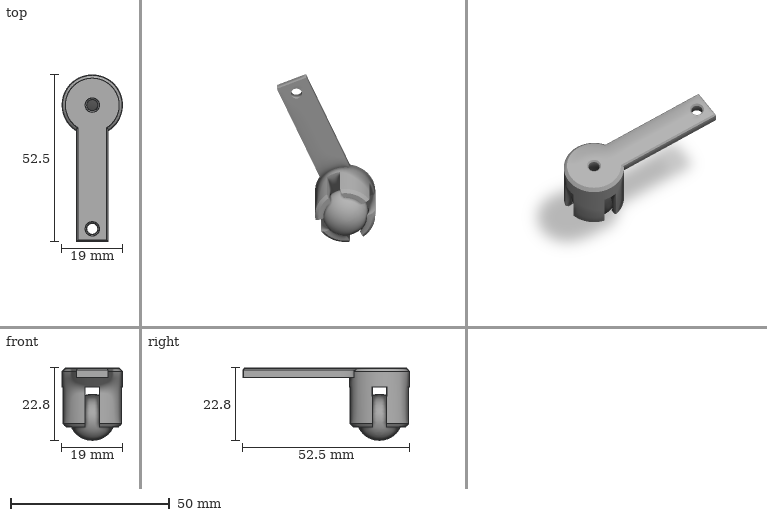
import cadquery as cq

total_height = 22.75
housing_height = 18.5
roof_thickness = 6.0

housing_diameter = 19.0
top_chamfer = 1.0
bottom_chamfer = 1.0
slot_width = 4.5

arm_width = 10.0
arm_thickness = 3.0
arm_reach = 43.0
arm_chamfer = 0.5

hole_diameter = 3.5
countersink_depth = 0.5
arm_hole_y = -39.0

ball_diameter = 14.5
socket_clearance = 0.25
socket_diameter = ball_diameter + 2 * socket_clearance
ball_center_z = ball_diameter / 2 - total_height


def make_sphere(diameter):
    """Sphere on the center of the ball, for the ball and for its socket."""
    return cq.Workplane("XY").sphere(diameter / 2).translate((0, 0, ball_center_z))


def make_housing_blank():
    """Solid cylinder, chamfered at both ends."""
    return (
        cq.Workplane("XY")
        .circle(housing_diameter / 2)
        .extrude(-housing_height)
        .faces(">Z")
        .chamfer(top_chamfer)
        .faces("<Z")
        .chamfer(bottom_chamfer)
    )


def make_arm():
    """Flat arm from the housing axis toward -Y, with its upper edges chamfered."""
    return (
        cq.Workplane("XY")
        .box(arm_width, arm_reach, arm_thickness, centered=(True, False, False))
        .translate((0, -arm_reach, -arm_thickness))
        .faces(">Z")
        .edges("<X or >X or <Y")
        .chamfer(arm_chamfer)
    )


def make_slots():
    """Two crossing slots that split the housing below its roof into four fingers."""
    slot = (
        cq.Workplane("XY")
        .workplane(offset=-roof_thickness)
        .rect(housing_diameter, slot_width)
        .extrude(roof_thickness - housing_height)
    )
    return slot.union(slot.rotate((0, 0, 0), (0, 0, 1), 90))


def make_hole(center_y, depth):
    """Cutter for a vertical hole with a 45 degree countersink at the top face."""
    hole_radius = hole_diameter / 2
    profile = (
        cq.Workplane("XZ")
        .moveTo(0, 0)
        .lineTo(hole_radius + countersink_depth, 0)
        .lineTo(hole_radius, -countersink_depth)
        .lineTo(hole_radius, -depth)
        .lineTo(0, -depth)
        .close()
    )
    return profile.revolve(360, (0, 0, 0), (0, 1, 0)).translate((0, center_y, 0))


housing = (
    make_housing_blank()
    .union(make_arm())
    .cut(make_slots())
    .cut(make_hole(0, roof_thickness))
    .cut(make_hole(arm_hole_y, arm_thickness))
    .cut(make_sphere(socket_diameter))
)

ball = make_sphere(ball_diameter)

result = cq.Compound.makeCompound([housing.val(), ball.val()])